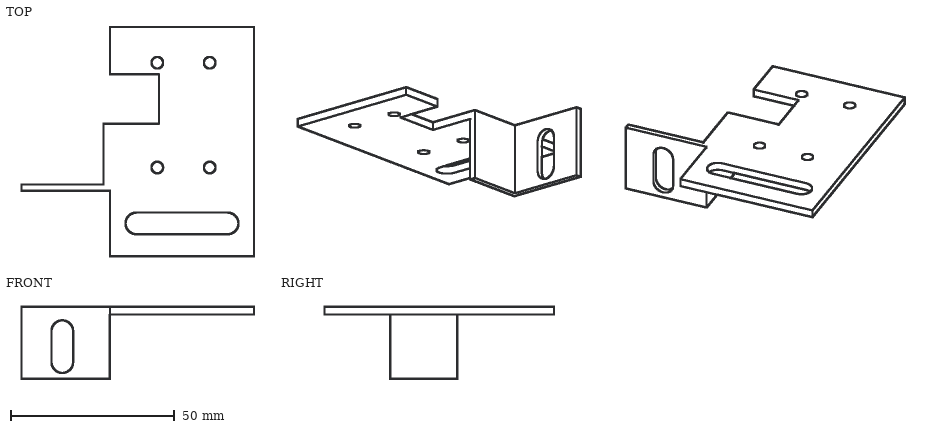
import cadquery as cq

length_x = 71.0
length_y = 70.0
height = 22.0

plate_thickness = 2.5
plate_width = 44.0
plate_left = length_x - plate_width

notch_depth = 15.0
notch_width = 15.0

wall_thickness = 2.0
flange_front = 20.0
wall_length = 20.5
wall_left = plate_left - wall_thickness
wall_back = flange_front + wall_length

hole_diameter = 3.5
hole_first_x = 41.45
hole_first_y = 27.1
hole_spacing_x = 16.0
hole_spacing_y = 31.95

slot_width = 6.5
plate_slot_length = 34.35
plate_slot_x = 49.0
plate_slot_y = 10.1
flange_slot_length = 16.0
flange_slot_x = 12.5
flange_slot_z = 9.8


def box(x, y, z, size_x, size_y, size_z):
    """Box with its lowest corner at the given point."""
    return cq.Workplane("XY").box(size_x, size_y, size_z, centered=False).translate((x, y, z))


def make_plate():
    """Notched plate with four holes and a slot."""
    plate_bottom = height - plate_thickness
    plate = box(plate_left, 0, plate_bottom, plate_width, length_y, plate_thickness)
    plate = plate.cut(box(plate_left, wall_back, plate_bottom, notch_depth, notch_width, plate_thickness))
    hole_centers = [
        (hole_first_x + column * hole_spacing_x, hole_first_y + row * hole_spacing_y)
        for column in range(2)
        for row in range(2)
    ]
    openings = (
        cq.Workplane("XY", origin=(0, 0, plate_bottom))
        .pushPoints(hole_centers)
        .circle(hole_diameter / 2)
        .extrude(plate_thickness)
    )
    slot = (
        cq.Workplane("XY", origin=(plate_slot_x, plate_slot_y, plate_bottom))
        .slot2D(plate_slot_length, slot_width)
        .extrude(plate_thickness)
    )
    return plate.cut(openings).cut(slot)


def make_bracket():
    """Full-height L-shaped bracket with an upright slot in its flange."""
    wall = box(wall_left, flange_front, 0, wall_thickness, wall_length, height)
    flange = box(0, flange_front, 0, plate_left, wall_thickness, height)
    slot = (
        cq.Workplane("XZ", origin=(flange_slot_x, flange_front, flange_slot_z))
        .slot2D(flange_slot_length, slot_width, angle=90)
        .extrude(-wall_thickness)
    )
    return wall.union(flange.cut(slot))


result = make_plate().union(make_bracket())